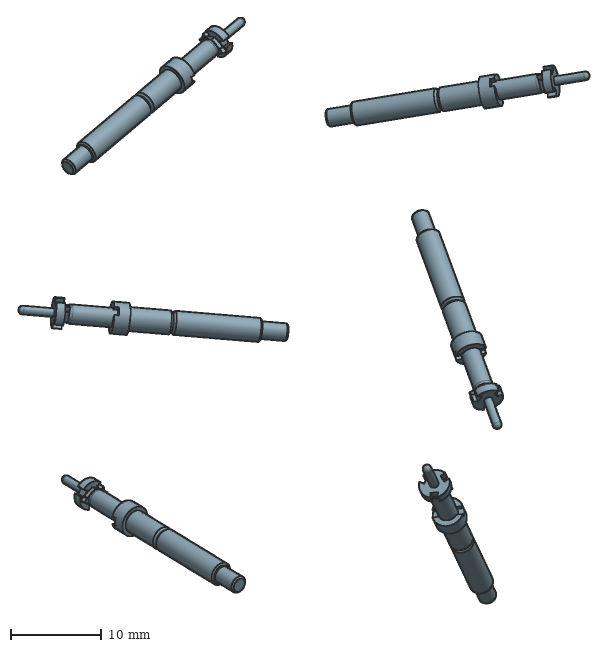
import math

import cadquery as cq


overall_length = 30.3
barrel_length = 15.0
plunger_length = 3.0
collar_length = 1.8
tail_length = 3.97
flange_thickness = 1.0
key_thickness = 0.58

barrel_front = -barrel_length
plunger_front = barrel_front - plunger_length
tail_tip = plunger_front + overall_length
flange_rear = tail_tip - tail_length
flange_front = flange_rear - flange_thickness
key_front = flange_front - key_thickness

plunger_radius = 1.0
barrel_radius = 1.35
collar_radius = 1.8
neck_radius = 1.1
flange_radius = 1.75
tail_radius = 0.5

front_chamfer = 0.2
neck_taper_length = 0.35
neck_taper_depth = 0.07
groove_center = -5.0
groove_half_width = 0.28
groove_depth = 0.25

flange_slot_angles = (30, 150, 270)
flange_slot_width = 0.85
flange_slot_floor = 1.1

key_apex_height = 1.09
key_flank_angle = math.radians(30)
key_tip_reach = 1.72
key_step_reach = 1.2

collar_slot_width = 1.0
collar_slot_depth = 0.5


def cylinder_along_y(radius, start, end):
    """Solid cylinder on the Y axis between two stations."""
    return cq.Workplane("XZ", origin=(0, start, 0)).circle(radius).extrude(start - end)


def plunger():
    """Plunger with a chamfered contact end."""
    rod = cylinder_along_y(plunger_radius, plunger_front, barrel_front)
    return rod.faces("<Y").chamfer(front_chamfer)


def barrel():
    """Barrel with a chamfered front end and a V-groove."""
    body = cylinder_along_y(barrel_radius, barrel_front, 0).faces("<Y").chamfer(front_chamfer)
    groove = (
        cq.Workplane("XY")
        .moveTo(barrel_radius, groove_center - groove_half_width)
        .lineTo(barrel_radius - groove_depth, groove_center)
        .lineTo(barrel_radius, groove_center + groove_half_width)
        .close()
        .revolve(360, (0, 0, 0), (0, 1, 0))
    )
    return body.cut(groove)


def collar():
    """Stop collar with a slot on each side, open to the rear and as deep as the neck."""
    body = cylinder_along_y(collar_radius, 0, collar_length)
    slot = cq.Workplane("XY").box(2 * collar_radius, collar_slot_depth, collar_slot_width)
    slot = slot.translate((0, collar_length - collar_slot_depth / 2, 0))
    return body.cut(slot)


def neck():
    """Neck between the collar and the key, tapered at its rear end."""
    body = cylinder_along_y(neck_radius, 0, key_front)
    return body.faces(">Y").chamfer(neck_taper_length, neck_taper_depth)


def rhombus(half_width):
    """Key-thick rhombus with its long diagonal along X."""
    half_height = half_width * math.tan(key_flank_angle)
    return (
        cq.Workplane("XZ", origin=(0, key_front, 0))
        .polyline([(half_width, 0), (0, half_height), (-half_width, 0), (0, -half_height)])
        .close()
        .extrude(-key_thickness)
    )


def key():
    """Rhombic key: a full-height middle and slightly lower tips."""
    middle = rhombus(key_apex_height / math.tan(key_flank_angle))
    middle_span = cq.Workplane("XY").box(2 * key_step_reach, 2 * key_thickness, 2 * key_apex_height)
    middle = middle.intersect(middle_span.translate((0, key_front + key_thickness / 2, 0)))
    return middle.union(rhombus(key_tip_reach))


def flange():
    """Rear flange with flat-floored radial slots."""
    body = cylinder_along_y(flange_radius, flange_front, flange_rear)
    slot = cq.Workplane("XY").box(flange_radius, 2 * flange_thickness, flange_slot_width)
    slot = slot.translate((flange_slot_floor + flange_radius / 2, flange_front + flange_thickness / 2, 0))
    for angle in flange_slot_angles:
        body = body.cut(slot.rotate((0, 0, 0), (0, 1, 0), -angle))
    return body


def tail():
    """Tail pin with a hemispherical tip."""
    rod = cylinder_along_y(tail_radius, flange_rear, tail_tip - tail_radius)
    return rod.union(cq.Workplane("XY").sphere(tail_radius).translate((0, tail_tip - tail_radius, 0)))


result = plunger()
for section in (barrel(), collar(), neck(), key(), flange(), tail()):
    result = result.union(section)